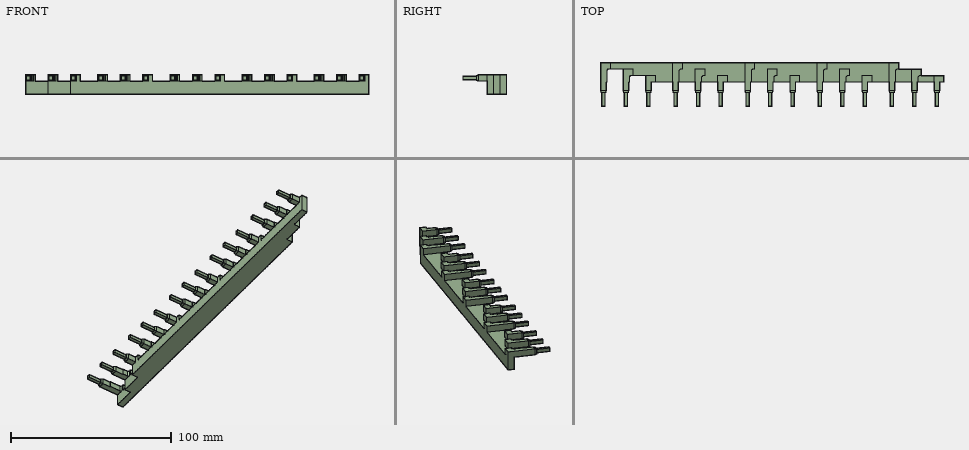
import cadquery as cq

total_length = 214.3
total_depth = 27.5
total_height = 12.2

rail_count = 3
rail_depth = 4.0
rail_height = 8.1

prongs_per_rail = 5
prong_pitch = 45.0
prong_height = total_height - rail_height
foot_width = 6.2
neck_width = 4.0
arm_width = 3.6
corner_chamfer = 0.9

rail_length = (prongs_per_rail - 1) * prong_pitch + foot_width
rail_shift = (total_length - rail_length) / (rail_count - 1)

rails_front = rail_count * rail_depth
arm_front = 17.5

collar_length = 1.3
collar_bevel = 0.5

pin_width = 2.1
pin_height = 2.4


def rail(left, rear):
    """Plain bar whose rear left bottom corner is at (left, rear, 0)."""
    return cq.Workplane("XY").box(rail_length, rail_depth, rail_height, centered=False).translate(
        (left, rear - rail_depth, 0)
    )


def prong(left, rear):
    """Foot on the rail, chamfered neck, arm, tapered collar and pin, all reaching forward (-Y)."""
    foot_front = rear - rail_depth
    outline = [
        (left, rear),
        (left + foot_width, rear),
        (left + foot_width, foot_front),
    ]
    if foot_front > -rails_front:
        outline += [
            (left + neck_width + corner_chamfer, foot_front),
            (left + neck_width, foot_front - corner_chamfer),
            (left + neck_width, -rails_front),
        ]
    outline += [
        (left + arm_width, -rails_front),
        (left + arm_width, -arm_front),
        (left, -arm_front),
    ]
    arm = cq.Workplane("XY", origin=(0, 0, rail_height)).polyline(outline).close().extrude(prong_height)

    arm_end = cq.Workplane(
        "XZ", origin=(left + arm_width / 2, -arm_front, rail_height + prong_height / 2)
    )
    collar = (
        arm_end.rect(arm_width, prong_height)
        .workplane(offset=collar_length)
        .rect(arm_width - 2 * collar_bevel, prong_height - 2 * collar_bevel)
        .loft(ruled=True)
    )
    pin = arm_end.rect(pin_width, pin_height).extrude(total_depth - arm_front)
    return arm.union(collar).union(pin)


result = cq.Workplane("XY")
for level in range(rail_count):
    rail_left = level * rail_shift
    rail_rear = -level * rail_depth
    result = result.union(rail(rail_left, rail_rear))
    for index in range(prongs_per_rail):
        result = result.union(prong(rail_left + index * prong_pitch, rail_rear))